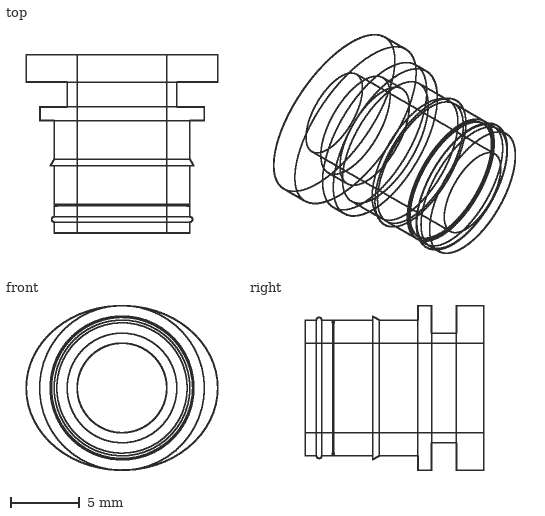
import cadquery as cq

head_width = 13.97
head_height = 12.0
head_thickness = 2.0

neck_radius = 4.0
neck_length = 1.8
collar_radius = head_height / 2
collar_thickness = 1.0
barrel_radius = 4.95
barrel_length = 8.2
bore_radius = 3.25

barb_crest_position = 4.9
barb_length = 0.5
barb_height = 0.3
groove_position = 2.0
groove_width = 0.1
groove_depth = 0.2
bead_position = 1.0
bead_radius = 0.2

collar_start = barrel_length
neck_start = collar_start + collar_thickness
head_start = neck_start + neck_length
total_length = head_start + head_thickness


def make_body():
    """Revolve the half profile (radius, Y) of the barrel, collar and neck."""
    barb_radius = barrel_radius + barb_height
    groove_radius = barrel_radius - groove_depth
    groove_end = groove_position + groove_width
    profile = (
        cq.Workplane("XY")
        .moveTo(0, 0)
        .lineTo(barrel_radius, 0)
        .lineTo(barrel_radius, bead_position - bead_radius)
        .threePointArc(
            (barrel_radius + bead_radius, bead_position),
            (barrel_radius, bead_position + bead_radius),
        )
        .lineTo(barrel_radius, groove_position)
        .lineTo(groove_radius, groove_position)
        .lineTo(groove_radius, groove_end)
        .lineTo(barrel_radius, groove_end)
        .lineTo(barrel_radius, barb_crest_position)
        .lineTo(barb_radius, barb_crest_position)
        .lineTo(barrel_radius, barb_crest_position + barb_length)
        .lineTo(barrel_radius, collar_start)
        .lineTo(collar_radius, collar_start)
        .lineTo(collar_radius, neck_start)
        .lineTo(neck_radius, neck_start)
        .lineTo(neck_radius, head_start)
        .lineTo(0, head_start)
        .close()
    )
    return profile.revolve(360, (0, 0, 0), (0, 1, 0))


def make_head():
    """Elliptical plate closing the +Y end."""
    return (
        cq.Workplane("XZ", origin=(0, head_start, 0))
        .ellipse(head_width / 2, head_height / 2)
        .extrude(-head_thickness)
    )


def make_bore():
    """Straight bore through the full length."""
    return cq.Workplane("XZ").circle(bore_radius).extrude(-total_length)


result = make_body().union(make_head()).cut(make_bore())